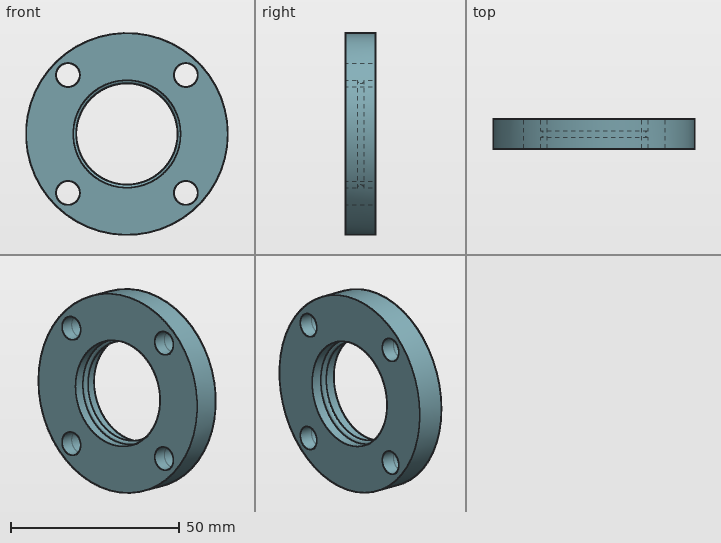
import cadquery as cq

outer_diameter = 60.0
thickness = 9.0
rib_inner_radius = 15.0
rib_radius = 0.95
bore_radius = rib_inner_radius + rib_radius
bolt_circle_diameter = 49.5
bolt_hole_diameter = 7.0
bolt_count = 4
first_bolt_angle = 45.0


def flange_ring():
    """Revolve the ring section, with a half-round rib midway along the bore."""
    outer_radius = outer_diameter / 2
    half_thickness = thickness / 2
    section = (
        cq.Workplane("XY")
        .moveTo(bore_radius, -half_thickness)
        .lineTo(outer_radius, -half_thickness)
        .lineTo(outer_radius, half_thickness)
        .lineTo(bore_radius, half_thickness)
        .lineTo(bore_radius, rib_radius)
        .threePointArc((rib_inner_radius, 0), (bore_radius, -rib_radius))
        .close()
    )
    return section.revolve(360, (0, 0, 0), (0, 1, 0))


def bolt_holes():
    """Cylinders that cut the bolt holes through the full thickness."""
    return (
        cq.Workplane("XZ")
        .polarArray(bolt_circle_diameter / 2, first_bolt_angle, 360, bolt_count)
        .circle(bolt_hole_diameter / 2)
        .extrude(thickness, both=True)
    )


result = flange_ring().cut(bolt_holes())